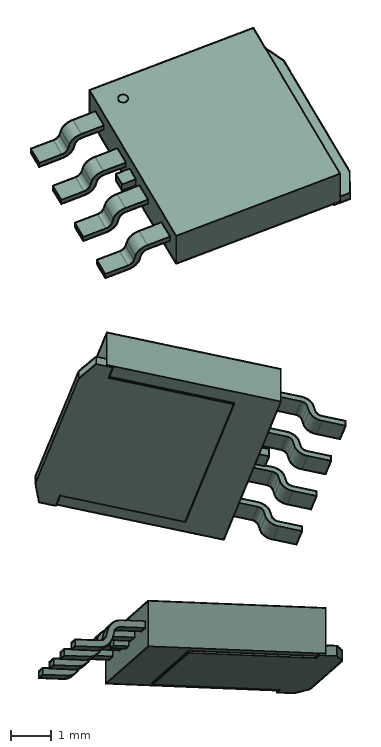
import cadquery as cq
import math


housing_width = 5.0
housing_height = 1.15
housing_front = -2.225
housing_back = 2.265

pad_thickness = 0.05
flange_top = 0.21
flange_length = 0.55
corner_cut_x = 0.6
corner_cut_y = 0.27
shoulder_length = 0.16
pad_side_inset = 0.375
pad_length = 3.39

lead_count = 4
lead_pitch = 1.27
lead_width = 0.49
lead_thickness = 0.17
lead_top = 0.70
lead_reach = 1.773
shank_length = 0.62
bend_inner_radius = 0.17
bend_angle = math.radians(75)

stub_width = 0.36
stub_height = 0.26
stub_length = 0.38

mark_diameter = 0.25
mark_depth = 0.05
mark_setback = 0.64

first_lead_x = -lead_pitch * (lead_count - 1) / 2


def make_mark():
    return (
        cq.Workplane("XY", origin=(first_lead_x, housing_front + mark_setback, housing_height - mark_depth))
        .circle(mark_diameter / 2)
        .extrude(mark_depth)
    )


def make_housing(mark):
    block = cq.Workplane("XY", origin=(0, housing_front, 0)).box(
        housing_width, housing_back - housing_front, housing_height, centered=(True, False, False)
    )
    return block.cut(mark)


def make_tab():
    half_width = housing_width / 2
    flange_back = housing_back + flange_length
    flange = (
        cq.Workplane("XY", origin=(0, 0, -pad_thickness))
        .moveTo(-half_width, housing_back)
        .lineTo(half_width, housing_back)
        .lineTo(half_width, flange_back - corner_cut_y)
        .lineTo(half_width - corner_cut_x, flange_back)
        .lineTo(corner_cut_x - half_width, flange_back)
        .lineTo(-half_width, flange_back - corner_cut_y)
        .close()
        .extrude(flange_top + pad_thickness)
    )
    shoulder = cq.Workplane("XY", origin=(0, housing_back - shoulder_length, -pad_thickness)).box(
        housing_width, shoulder_length, pad_thickness, centered=(True, False, False)
    )
    pad = cq.Workplane("XY", origin=(0, housing_back - pad_length, -pad_thickness)).box(
        housing_width - 2 * pad_side_inset, pad_length, pad_thickness, centered=(True, False, False)
    )
    return flange.union(shoulder).union(pad)


def make_lead(center_x):
    """Gull-wing strip: shank, downward bend, sloped riser, upward bend and foot."""
    outer_radius = bend_inner_radius + lead_thickness
    bend_end_y = housing_front - shank_length
    upper_center = (bend_end_y, lead_top - outer_radius)

    bend_drop = (outer_radius + bend_inner_radius) * (1 - math.cos(bend_angle))
    riser_drop = lead_top - lead_thickness - bend_drop
    riser_run = riser_drop / math.tan(bend_angle)
    bend_run = (outer_radius + bend_inner_radius) * math.sin(bend_angle)
    lower_center = (bend_end_y - bend_run - riser_run, outer_radius)

    def on_upper_bend(radius, angle):
        return (upper_center[0] - radius * math.sin(angle), upper_center[1] + radius * math.cos(angle))

    def on_lower_bend(radius, angle):
        return (lower_center[0] + radius * math.sin(angle), lower_center[1] - radius * math.cos(angle))

    half_angle = bend_angle / 2
    foot_end_y = housing_front - lead_reach
    return (
        cq.Workplane("YZ", origin=(center_x - lead_width / 2, 0, 0))
        .moveTo(housing_front, lead_top)
        .lineTo(*on_upper_bend(outer_radius, 0))
        .threePointArc(on_upper_bend(outer_radius, half_angle), on_upper_bend(outer_radius, bend_angle))
        .lineTo(*on_lower_bend(bend_inner_radius, bend_angle))
        .threePointArc(on_lower_bend(bend_inner_radius, half_angle), on_lower_bend(bend_inner_radius, 0))
        .lineTo(foot_end_y, lead_thickness)
        .lineTo(foot_end_y, 0)
        .lineTo(*on_lower_bend(outer_radius, 0))
        .threePointArc(on_lower_bend(outer_radius, half_angle), on_lower_bend(outer_radius, bend_angle))
        .lineTo(*on_upper_bend(bend_inner_radius, bend_angle))
        .threePointArc(on_upper_bend(bend_inner_radius, half_angle), on_upper_bend(bend_inner_radius, 0))
        .lineTo(housing_front, lead_top - lead_thickness)
        .close()
        .extrude(lead_width)
    )


def make_stub():
    return cq.Workplane("XY", origin=(0, housing_front - stub_length, lead_top - stub_height)).box(
        stub_width, stub_length, stub_height, centered=(True, False, False)
    )


mark = make_mark()
housing = make_housing(mark)
tab = make_tab()
stub = make_stub()
leads = [make_lead(first_lead_x + i * lead_pitch) for i in range(lead_count)]

result = cq.Compound.makeCompound(
    [housing.val(), tab.val(), stub.val(), mark.val(), *[lead.val() for lead in leads]]
)